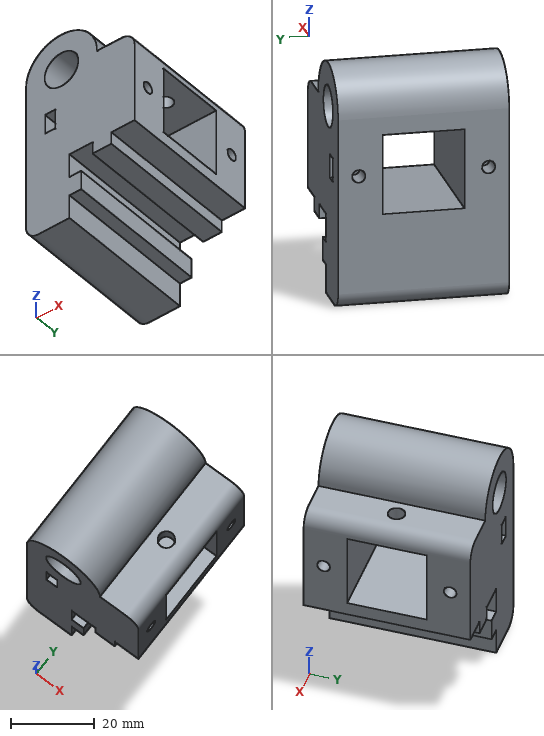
import cadquery as cq

length_x = 33.5
width_y = 42.0
height_z = 59.0

barrel_radius = 11.0
barrel_bore_diameter = 10.4
corner_radius = 4.0
leg_thickness = 13.45
step_height = 20.0
barrel_z = height_z - barrel_radius

tab_width = 5.8
tab_depth = 3.6
leg_tab_z = step_height / 2
block_tab_x = (leg_thickness + length_x) / 2

window_size = 20.0
screw_diameter = 3.2
screw_offset_y = 15.95
window_z = 33.5

nut_thickness = 3.2
nut_height = 5.9
nut_x = 7.5
nut_pocket_depth = width_y / 2 - screw_offset_y + nut_height / 2

shelf_hole_diameter = 4.2
shelf_hole_x = 26.0


def box(size_x, size_y, size_z, center):
    """Return a box centred on the given point."""
    return cq.Workplane("XY").box(size_x, size_y, size_z).translate(center)


def make_body():
    """Extrude the side profile with its rounded top and corners."""
    profile = (
        cq.Workplane("XZ")
        .moveTo(0, 0)
        .lineTo(leg_thickness, 0)
        .lineTo(leg_thickness, step_height)
        .lineTo(length_x, step_height)
        .lineTo(length_x, barrel_z)
        .lineTo(2 * barrel_radius, barrel_z)
        .threePointArc((barrel_radius, height_z), (0, barrel_z))
        .close()
    )
    body = profile.extrude(width_y / 2, both=True)
    bottom_corner = cq.selectors.NearestToPointSelector((0, 0, 0))
    shelf_corner = cq.selectors.NearestToPointSelector((length_x, 0, barrel_z))
    body = body.edges(bottom_corner).fillet(corner_radius)
    return body.edges(shelf_corner).fillet(corner_radius)


def make_tabs():
    """Build both tabs, reaching equally far into the body and out of it."""
    leg_tab = box(2 * tab_depth, width_y, tab_width, (leg_thickness, 0, leg_tab_z))
    block_tab = box(tab_width, width_y, 2 * tab_depth, (block_tab_x, 0, step_height))
    return leg_tab.union(block_tab)


def make_barrel_bore():
    """Bore along the whole barrel."""
    return (
        cq.Workplane("XZ")
        .center(barrel_radius, barrel_z)
        .circle(barrel_bore_diameter / 2)
        .extrude(width_y / 2, both=True)
    )


def make_window():
    """Square opening through the body along X."""
    return box(length_x, window_size, window_size, (length_x / 2, 0, window_z))


def make_screw_holes():
    """Two holes through the body along X, one on each side of the window."""
    return (
        cq.Workplane("YZ")
        .pushPoints([(-screw_offset_y, window_z), (screw_offset_y, window_z)])
        .circle(screw_diameter / 2)
        .extrude(length_x)
    )


def make_nut_pocket(side):
    """Blind pocket entering from the end face on the given side of Y."""
    pocket_y = side * (width_y - nut_pocket_depth) / 2
    return box(nut_thickness, nut_pocket_depth, nut_height, (nut_x, pocket_y, window_z))


def make_shelf_hole():
    """Hole from the shelf down to the middle of the window."""
    return (
        cq.Workplane("XY", origin=(shelf_hole_x, 0, window_z))
        .circle(shelf_hole_diameter / 2)
        .extrude(barrel_z - window_z)
    )


result = make_body().union(make_tabs())
for cutter in (make_barrel_bore(), make_window(), make_screw_holes(), make_shelf_hole()):
    result = result.cut(cutter)
for side in (-1, 1):
    result = result.cut(make_nut_pocket(side))